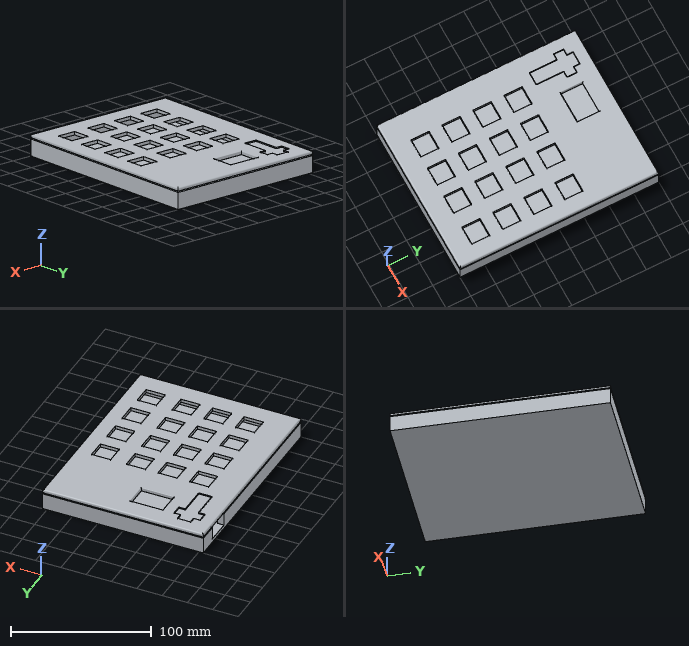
import cadquery as cq

WIDTH = 127.0
LENGTH = 160.0
BASE_HEIGHT = 13.0
LID_GAP = 1.0
LID_THICKNESS = 2.5
LID_EDGE_RADIUS = 1.3

WALL = 5.0
FLOOR = 3.0

NOTCH_LENGTH = 19.0
NOTCH_CENTER_Y = 55.7

KEY_WIDTH = 15.0
KEY_LENGTH = 14.4
KEY_COLUMNS_X = [-34.0, -9.0, 16.0, 43.5]
KEY_BOTTOM_ROW_Y = -56.6
KEY_ROW_PITCH = 25.0
KEY_ROWS = 4

WINDOW_WIDTH = 25.6
WINDOW_LENGTH = 17.8
WINDOW_CENTER = (-11.7, 56.3)
WINDOW_EDGE_RADIUS = 0.5

CROSS_CENTER_X = -43.5
CROSS_BOTTOM_Y = 35.2
CROSS_HEIGHT = 35.0
CROSS_STEM_WIDTH = 10.4
CROSS_ARM_SPAN = 20.5
CROSS_ARM_WIDTH = 8.0
CROSS_ARM_BOTTOM = 22.0
CROSS_DEPTH = 1.0

LID_BOTTOM = BASE_HEIGHT + LID_GAP
LID_TOP = LID_BOTTOM + LID_THICKNESS


def block(width, length, height, center_x, center_y, bottom):
    """Box centred on (center_x, center_y) and standing on the height `bottom`."""
    box = cq.Workplane("XY").box(width, length, height, centered=(True, True, False))
    return box.translate((center_x, center_y, bottom))


def make_base():
    """Open tray with a cable notch in its -X wall."""
    inner_height = BASE_HEIGHT - FLOOR
    cavity = block(WIDTH - 2 * WALL, LENGTH - 2 * WALL, inner_height, 0, 0, FLOOR)
    wall_center_x = (WALL - WIDTH) / 2
    notch = block(WALL, NOTCH_LENGTH, inner_height, wall_center_x, NOTCH_CENTER_Y, FLOOR)
    return block(WIDTH, LENGTH, BASE_HEIGHT, 0, 0, 0).cut(cavity).cut(notch)


def make_key_openings():
    """Grid of rectangular cutters passing through the lid."""
    openings = cq.Workplane("XY")
    for row in range(KEY_ROWS):
        y = KEY_BOTTOM_ROW_Y + row * KEY_ROW_PITCH
        for x in KEY_COLUMNS_X:
            openings.add(block(KEY_WIDTH, KEY_LENGTH, LID_THICKNESS, x, y, LID_BOTTOM))
    return openings.combine()


def make_window_opening():
    """Rectangular cutter for the display, passing through the lid."""
    return block(WINDOW_WIDTH, WINDOW_LENGTH, LID_THICKNESS, *WINDOW_CENTER, LID_BOTTOM)


def make_cross():
    """Shallow cutter shaped as an upright cross."""
    bottom = LID_TOP - CROSS_DEPTH
    stem_y = CROSS_BOTTOM_Y + CROSS_HEIGHT / 2
    arm_y = CROSS_BOTTOM_Y + CROSS_ARM_BOTTOM + CROSS_ARM_WIDTH / 2
    stem = block(CROSS_STEM_WIDTH, CROSS_HEIGHT, CROSS_DEPTH, CROSS_CENTER_X, stem_y, bottom)
    arms = block(CROSS_ARM_SPAN, CROSS_ARM_WIDTH, CROSS_DEPTH, CROSS_CENTER_X, arm_y, bottom)
    return stem.union(arms)


def make_lid():
    """Flat cover plate with rounded outer and window edges, key openings and a cross."""
    plate = block(WIDTH, LENGTH, LID_THICKNESS, 0, 0, LID_BOTTOM)
    plate = plate.faces(">Z").edges().fillet(LID_EDGE_RADIUS)
    plate = plate.cut(make_window_opening())
    window_rim = plate.faces(">Z").wires(cq.selectors.AreaNthSelector(0))
    plate = window_rim.edges().fillet(WINDOW_EDGE_RADIUS)
    return plate.cut(make_key_openings()).cut(make_cross())


base = make_base()
lid = make_lid()

result = cq.Compound.makeCompound([base.val(), lid.val()])